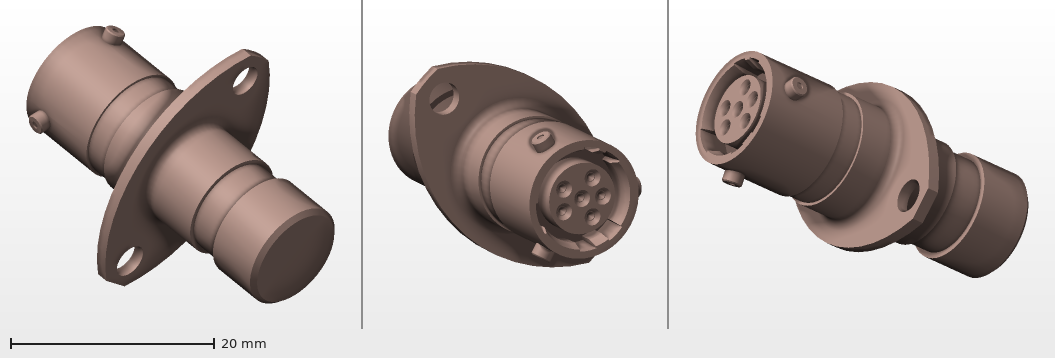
import cadquery as cq
import math


TOTAL_LENGTH = 33.31
BARREL_RADIUS = 5.97
RELIEF_RADIUS = 5.67
REAR_RADIUS = 5.46
REAR_GROOVE_RADIUS = 4.96
REAR_COLLAR_RADIUS = 5.56
BARREL_END = 8.95
RELIEF_END = 11.55
FLANGE_START = 15.98
FLANGE_THICKNESS = 1.25
FLANGE_END = FLANGE_START + FLANGE_THICKNESS
REAR_END = 23.8
REAR_GROOVE_END = 27.3
REAR_CHAMFER = 0.5
FLANGE_FILLET = 0.88

LENS_ARC_RADIUS = 16.8
LENS_HALF_WIDTH = 8.32
TIP_ARC_RADIUS = 13.5
TIP_FLAT_DISTANCE = 13.38
MOUNTING_HOLE_DISTANCE = 10.7
UPPER_HOLE_DIAMETER = 3.25
LOWER_HOLE_DIAMETER = 3.45

MOUTH_RADIUS = 5.05
THROAT_RADIUS = 4.6
MOUTH_DEPTH = 1.24
SOCKET_DEPTH = 3.0
KEYWAY_RADIUS = 5.26
KEYWAY_FLOOR_RADIUS = 5.03
KEYWAY_SPANS = [(42, 62.5), (71, 90), (178.5, 216), (265, 285), (302, 322.5)]

INSERT_FACE = 0.44
INSERT_RADIUS = 3.6
INSERT_BASE_RADIUS = 3.75
INSERT_END = FLANGE_START
CONTACT_CIRCLE_RADIUS = 2.28
CONTACT_ANGLES = [0, 60, 150, 210, 300]
CONTACT_MOUTH_RADIUS = 0.86
CONTACT_HOLE_RADIUS = 0.48
CONTACT_MOUTH_DEPTH = 0.45
CONTACT_STEP_RADIUS = 0.42
CONTACT_POINT_DEPTH = 0.5

PIN_POSITION = 2.56
PIN_RADIUS = 1.04
PIN_SEAT = 5.4
PIN_TIP = 7.08
PIN_CHAMFER = 0.12
DIMPLE_RADIUS = 0.38
DIMPLE_DEPTH = 0.15
PIN_ANGLES = [0, 120, 240]

SKETCH_ANGLE = 180


def around_axis(radius, angle):
    """Y and Z of a point at a radius and angle around the connector axis."""
    turn = math.radians(angle)
    return -radius * math.cos(turn), radius * math.sin(turn)


def revolve_about_x(outline):
    """Solid of revolution from a closed outline of (position, radius) points."""
    return cq.Workplane("XY").polyline(outline).close().revolve(360, (0, 0, 0), (1, 0, 0))


def make_flange():
    diagonal = cq.Plane(origin=(FLANGE_START, 0, 0), xDir=(0, 1, 1), normal=(1, 0, 0))
    plane = cq.Workplane(diagonal)

    def disc(along, across, radius):
        return plane.center(along, across).circle(radius).extrude(FLANGE_THICKNESS)

    arc_offset = LENS_ARC_RADIUS - LENS_HALF_WIDTH
    flange = disc(0, 0, TIP_ARC_RADIUS)
    flange = flange.intersect(disc(0, arc_offset, LENS_ARC_RADIUS))
    flange = flange.intersect(disc(0, -arc_offset, LENS_ARC_RADIUS))

    trim_length = TIP_ARC_RADIUS
    trim = plane.center(-TIP_FLAT_DISTANCE - trim_length / 2, 0).rect(trim_length, 2 * LENS_HALF_WIDTH)
    flange = flange.cut(trim.extrude(FLANGE_THICKNESS))

    flange = flange.cut(disc(MOUNTING_HOLE_DISTANCE, 0, UPPER_HOLE_DIAMETER / 2))
    return flange.cut(disc(-MOUNTING_HOLE_DISTANCE, 0, LOWER_HOLE_DIAMETER / 2))


def make_shell_body():
    """Turned outside of the shell, with a fillet running up each side of the flange."""
    bend = FLANGE_FILLET * (1 - math.sqrt(0.5))
    outline = (
        cq.Workplane("XY")
        .moveTo(0, 0)
        .lineTo(0, BARREL_RADIUS)
        .lineTo(BARREL_END, BARREL_RADIUS)
        .lineTo(BARREL_END, RELIEF_RADIUS)
        .lineTo(RELIEF_END, RELIEF_RADIUS)
        .lineTo(RELIEF_END, BARREL_RADIUS)
        .lineTo(FLANGE_START - FLANGE_FILLET, BARREL_RADIUS)
        .threePointArc(
            (FLANGE_START - bend, BARREL_RADIUS + bend),
            (FLANGE_START, BARREL_RADIUS + FLANGE_FILLET),
        )
        .lineTo(FLANGE_END, BARREL_RADIUS + FLANGE_FILLET)
        .lineTo(FLANGE_END, REAR_RADIUS + FLANGE_FILLET)
        .threePointArc(
            (FLANGE_END + bend, REAR_RADIUS + bend),
            (FLANGE_END + FLANGE_FILLET, REAR_RADIUS),
        )
        .lineTo(REAR_END, REAR_RADIUS)
        .lineTo(REAR_END, REAR_GROOVE_RADIUS)
        .lineTo(REAR_GROOVE_END, REAR_GROOVE_RADIUS)
        .lineTo(REAR_GROOVE_END, REAR_COLLAR_RADIUS)
        .lineTo(TOTAL_LENGTH - REAR_CHAMFER, REAR_COLLAR_RADIUS)
        .lineTo(TOTAL_LENGTH, REAR_COLLAR_RADIUS - REAR_CHAMFER)
        .lineTo(TOTAL_LENGTH, 0)
        .close()
    )
    return outline.revolve(360, (0, 0, 0), (1, 0, 0))


def make_socket():
    """Space inside the mating end, down to the floor and on to the end of the insert."""
    return revolve_about_x(
        [
            (0, 0),
            (0, MOUTH_RADIUS),
            (MOUTH_DEPTH, THROAT_RADIUS),
            (SOCKET_DEPTH, THROAT_RADIUS),
            (SOCKET_DEPTH, INSERT_BASE_RADIUS),
            (INSERT_END, INSERT_BASE_RADIUS),
            (INSERT_END, 0),
        ]
    )


def make_keyway(start_angle, end_angle):
    """Slightly tapered sector that opens the socket wall between two angles."""
    outline = [
        (0, 0),
        (0, KEYWAY_RADIUS),
        (SOCKET_DEPTH, KEYWAY_FLOOR_RADIUS),
        (SOCKET_DEPTH, 0),
    ]
    sketch = cq.Workplane("XY").polyline(outline).close()
    sector = sketch.revolve(end_angle - start_angle, (0, 0, 0), (-1, 0, 0))
    return sector.rotate((0, 0, 0), (-1, 0, 0), start_angle - SKETCH_ANGLE)


def make_pin_plane(angle, radius):
    """Sketch plane across a pin, at a radius from the connector axis and facing outward."""
    y, z = around_axis(radius, angle)
    plane = cq.Plane(origin=(PIN_POSITION, y, z), xDir=(1, 0, 0), normal=(0, y, z))
    return cq.Workplane(plane)


def make_pin_blank(angle):
    """Plain radial cylinder from pin seat to pin tip."""
    return make_pin_plane(angle, PIN_SEAT).circle(PIN_RADIUS).extrude(PIN_TIP - PIN_SEAT)


def make_pin(angle):
    """Pin with a chamfered tip and a shallow dimple in it."""
    outward = cq.Vector(0, *around_axis(PIN_TIP, angle))
    tip_face = cq.selectors.DirectionMinMaxSelector(outward)
    pin = make_pin_blank(angle).faces(tip_face).chamfer(PIN_CHAMFER)
    dimple_floor = make_pin_plane(angle, PIN_TIP - DIMPLE_DEPTH)
    return pin.cut(dimple_floor.circle(DIMPLE_RADIUS).extrude(DIMPLE_DEPTH))


def make_contact_hole(y, z):
    """Conical mouth, a small step and a pointed bottom."""
    step_end = INSERT_FACE + CONTACT_MOUTH_DEPTH
    hole = revolve_about_x(
        [
            (INSERT_FACE, 0),
            (INSERT_FACE, CONTACT_MOUTH_RADIUS),
            (step_end, CONTACT_HOLE_RADIUS),
            (step_end, CONTACT_STEP_RADIUS),
            (step_end + CONTACT_POINT_DEPTH, 0),
        ]
    )
    return hole.translate((0, y, z))


def make_insert():
    insert = revolve_about_x(
        [
            (INSERT_FACE, 0),
            (INSERT_FACE, INSERT_RADIUS),
            (SOCKET_DEPTH, INSERT_RADIUS),
            (SOCKET_DEPTH, INSERT_BASE_RADIUS),
            (INSERT_END, INSERT_BASE_RADIUS),
            (INSERT_END, 0),
        ]
    )
    centres = [(0, 0)]
    for angle in CONTACT_ANGLES:
        centres.append(around_axis(CONTACT_CIRCLE_RADIUS, angle))
    for y, z in centres:
        insert = insert.cut(make_contact_hole(y, z))
    return insert


def make_shell():
    shell = make_shell_body().union(make_flange()).cut(make_socket())
    for start_angle, end_angle in KEYWAY_SPANS:
        shell = shell.cut(make_keyway(start_angle, end_angle))
    for angle in PIN_ANGLES:
        shell = shell.cut(make_pin_blank(angle))
    return shell


shell = make_shell()
insert = make_insert()
pins = [make_pin(angle) for angle in PIN_ANGLES]

result = cq.Compound.makeCompound([shell.val(), insert.val(), *[pin.val() for pin in pins]])